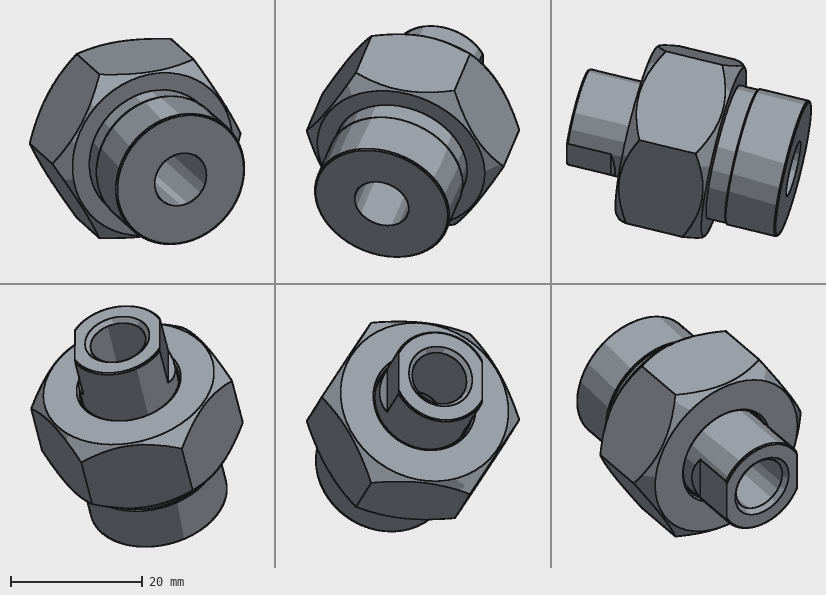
import cadquery as cq
import math


nut_start = 9.45
nut_length = 13.55
nut_end = nut_start + nut_length
rim_start = 26.0
total_length = 34.0

tail_diameter = 15.0
bore_diameter = 8.57
bore_mouth_diameter = 10.0
bore_chamfer = (bore_mouth_diameter - bore_diameter) / 2
edge_chamfer = 0.2
flat_spacing = 13.12
flat_length = 6.97
flat_depth = (tail_diameter - flat_spacing) / 2

hex_sides = 6
across_flats = 27.0
across_corners = across_flats / math.cos(math.pi / hex_sides)
corner_chamfer = 2.35
nut_hole_diameter = 15.5
nut_hole_chamfer = 0.35
lip_thickness = 2.72
collar_length = 2.72
collar_start = nut_start + lip_thickness
collar_end = collar_start + collar_length

neck_diameter = 20.9
rim_diameter = 21.3
rim_step = (rim_diameter - neck_diameter) / 2


def cylinder(start, end, diameter):
    """Solid cylinder along X between two axial positions."""
    return cq.Workplane("YZ", origin=(start, 0, 0)).circle(diameter / 2).extrude(end - start)


def cone(start, length, start_diameter, end_diameter):
    """Solid truncated cone along X."""
    return cq.Workplane(
        cq.Solid.makeCone(
            start_diameter / 2, end_diameter / 2, length, cq.Vector(start, 0, 0), cq.Vector(1, 0, 0)
        )
    )


def wrench_flat_cut(side):
    """Material beside one wrench flat; its inner end slopes outward at 45 degrees."""
    inner = flat_spacing / 2
    outer = inner + flat_depth
    return (
        cq.Workplane("XY")
        .polyline([
            (0, side * inner),
            (flat_length, side * inner),
            (flat_length + flat_depth, side * outer),
            (0, side * outer),
        ])
        .close()
        .extrude(tail_diameter / 2, both=True)
    )


def make_tail_piece():
    """Bored tail with two wrench flats and a collar retained behind the nut lip."""
    tail = cylinder(0, collar_start, tail_diameter).faces("<X").chamfer(edge_chamfer)
    for side in (-1, 1):
        tail = tail.cut(wrench_flat_cut(side))
    tail = tail.union(cylinder(collar_start, collar_end, neck_diameter))
    tail = tail.cut(cylinder(0, collar_end, bore_diameter))
    return tail.cut(cone(0, bore_chamfer, bore_mouth_diameter, bore_diameter)).solids()


def make_nut():
    """Hexagonal nut with corners on Y, turned chamfers and a retaining lip."""
    hexagon = cq.Workplane("YZ", origin=(nut_start, 0, 0)).polygon(hex_sides, across_corners).extrude(nut_length)
    turned_envelope = cylinder(nut_start, nut_end, across_corners).faces("<X or >X").chamfer(corner_chamfer)
    nut = hexagon.intersect(turned_envelope)
    nut = nut.cut(cylinder(nut_start, collar_start, nut_hole_diameter))
    nut = nut.cut(cylinder(collar_start, nut_end, neck_diameter))
    mouth_diameter = nut_hole_diameter + 2 * nut_hole_chamfer
    return nut.cut(cone(nut_start, nut_hole_chamfer, mouth_diameter, nut_hole_diameter)).solids()


def make_body():
    """Bored body: a neck seated in the nut and a slightly wider rim."""
    neck = cylinder(collar_end, rim_start, neck_diameter)
    rim = cylinder(rim_start, total_length, rim_diameter)
    rim = rim.faces("<X").chamfer(rim_step).faces(">X").chamfer(edge_chamfer)
    return neck.union(rim).cut(cylinder(collar_end, total_length, bore_diameter)).solids()


tail_piece = make_tail_piece()
nut = make_nut()
body = make_body()

result = cq.Compound.makeCompound([tail_piece.val(), nut.val(), body.val()])